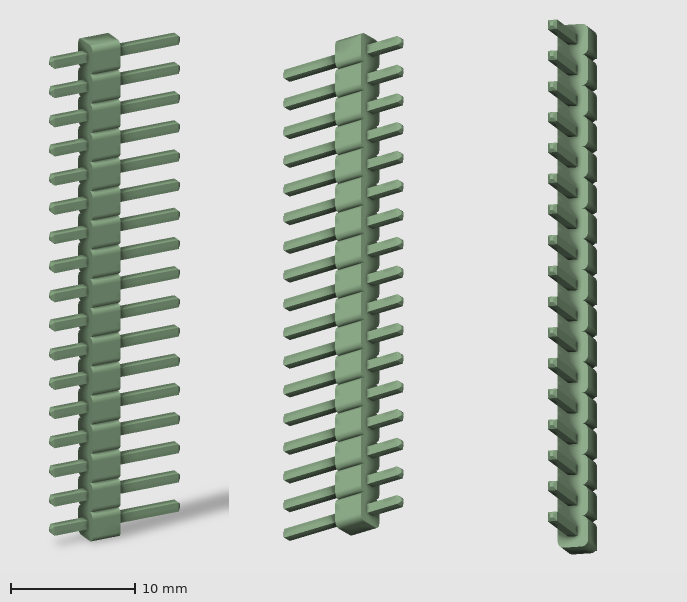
import cadquery as cq

PIN_COUNT = 17
ROW_LENGTH = 43.2
PITCH = ROW_LENGTH / PIN_COUNT

CELL_SIZE = PITCH
CORNER_RADIUS = 0.5

PIN_LENGTH = 11.75
PIN_SIZE = 0.78
SHORT_END = 3.25
TIP_LENGTH = 0.25
TIP_SIZE = 0.25
SHANK_LENGTH = PIN_LENGTH - 2 * TIP_LENGTH


def make_cell():
    """Body cell centred on the origin; stacked cells leave cusped notches at their corners."""
    return cq.Workplane("XY").box(CELL_SIZE, CELL_SIZE, CELL_SIZE).edges("|Y").fillet(CORNER_RADIUS)


def make_tip():
    """Square taper that narrows along +Y from the origin."""
    return (
        cq.Workplane("XZ")
        .rect(PIN_SIZE, PIN_SIZE)
        .workplane(offset=-TIP_LENGTH)
        .rect(TIP_SIZE, TIP_SIZE)
        .loft(ruled=True)
    )


def make_pin():
    """Pin along Y, shifted so that its short end leaves the cell on the -Y side."""
    shank = cq.Workplane("XY").box(PIN_SIZE, SHANK_LENGTH, PIN_SIZE)
    tip = make_tip().translate((0, SHANK_LENGTH / 2, 0))
    center_y = PIN_LENGTH / 2 - SHORT_END - CELL_SIZE / 2
    return shank.union(tip).union(tip.mirror("XZ")).translate((0, center_y, 0))


contact = make_cell().union(make_pin())
first_z = (PITCH - ROW_LENGTH) / 2

result = contact.translate((0, 0, first_z))
for i in range(1, PIN_COUNT):
    result = result.union(contact.translate((0, 0, first_z + i * PITCH)))